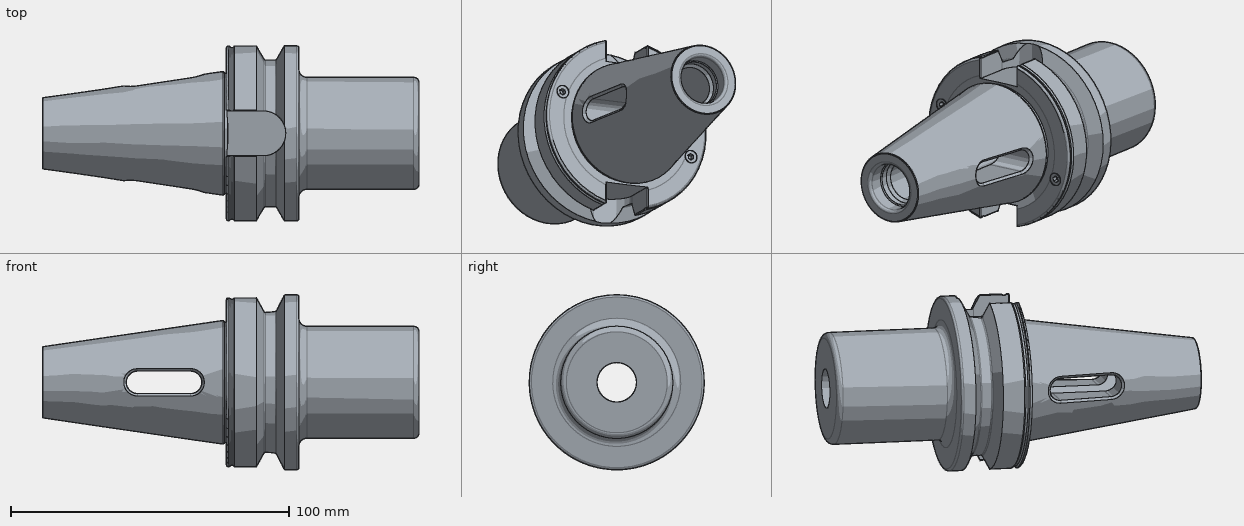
import cadquery as cq
import math

total_length = 135.4

clearance = 1.4

arc_mid_ratio = 1 - math.sqrt(0.5)

gauge_x = 65.4
gauge_radius = 22.3
taper_ratio = 7 / 24
tip_radius = gauge_radius - gauge_x * taper_ratio / 2
tip_chamfer = 0.3
root_chamfer = 0.4

flange_diameter = 63.0
flange_radius = flange_diameter / 2
face_x = 66.1
flange_end_x = 92.2
face_fillet = 0.8
back_fillet = 0.8

recess_radius = 25.0
recess_floor_x = 66.8
root_radius = 21.7

ring_groove_x = 68.1
ring_groove_width = 1.9
ring_groove_depth = 0.5

v_center_x = 81.9
v_floor_radius = 26.4
v_floor_width = 4.2
v_wall_width = (flange_radius - v_floor_radius) * math.tan(math.radians(30))
v_corner_fillet = 0.5
v_start_x = v_center_x - v_floor_width / 2 - v_wall_width

shank_radius = 20.2
neck_fillet = 2.8
shank_end_fillet = 2.0

guide_radius = 8.5
guide_depth = 6.2
mouth_fillet = 1.1
ring_radius = 8.1
ring_width = 2.6
core_radius = 7.0

key_width = 16.1
key_floor = 22.5
key_end_x = 87.5
key_chamfer = 0.4

slot_center_x = 43.7
slot_length = 27.1
slot_width = 8.0
slot_chamfer = 1.0

plug_circle_radius = 27.0
plug_angle = 20.0
plug_radius = 2.3
plug_sink = 0.3
socket_across_flats = 2.0
socket_depth = 2.0


def revolve_about_x(profile):
    return profile.close().revolve(360, (0, 0, 0), (1, 0, 0))


def make_body():
    fillet_offset = neck_fillet * arc_mid_ratio
    v_floor_start = v_center_x - v_floor_width / 2
    v_floor_end = v_center_x + v_floor_width / 2
    body = revolve_about_x(
        cq.Workplane("XZ")
        .moveTo(0, 0)
        .lineTo(0, tip_radius - tip_chamfer)
        .lineTo(tip_chamfer, tip_radius + tip_chamfer * taper_ratio / 2)
        .lineTo(gauge_x - root_chamfer, gauge_radius - root_chamfer * taper_ratio / 2)
        .lineTo(gauge_x, gauge_radius - root_chamfer)
        .lineTo(gauge_x, root_radius)
        .lineTo(recess_floor_x, root_radius)
        .lineTo(face_x, recess_radius)
        .lineTo(face_x, flange_radius)
        .lineTo(v_start_x, flange_radius)
        .lineTo(v_floor_start, v_floor_radius)
        .lineTo(v_floor_end, v_floor_radius)
        .lineTo(v_floor_end + v_wall_width, flange_radius)
        .lineTo(flange_end_x, flange_radius)
        .lineTo(flange_end_x, shank_radius + neck_fillet)
        .threePointArc(
            (flange_end_x + fillet_offset, shank_radius + fillet_offset),
            (flange_end_x + neck_fillet, shank_radius),
        )
        .lineTo(total_length, shank_radius)
        .lineTo(total_length, 0)
    )
    body = fillet_circle(body, face_x, flange_radius, face_fillet)
    body = fillet_circle(body, flange_end_x, flange_radius, back_fillet)
    body = fillet_circle(body, total_length, shank_radius, shank_end_fillet)
    for corner_x in (v_floor_start, v_floor_end):
        body = fillet_circle(body, corner_x, v_floor_radius, v_corner_fillet)
    return body


def fillet_circle(body, x, radius, fillet):
    """Round the turned edge that lies at the given X and radius."""
    tolerance = 0.01
    reach = radius + tolerance
    edge = cq.selectors.BoxSelector(
        (x - tolerance, -reach, -reach), (x + tolerance, reach, reach), boundingbox=True
    )
    is_outer = cq.selectors.RadiusNthSelector(-1)
    return body.edges(edge).edges(is_outer).fillet(fillet)


def make_ring_groove():
    """Groove with 45 degree walls."""
    floor_radius = flange_radius - ring_groove_depth
    half_floor = ring_groove_width / 2 - ring_groove_depth
    rim_radius = flange_radius + clearance
    half_rim = half_floor + rim_radius - floor_radius
    return revolve_about_x(
        cq.Workplane("XZ")
        .moveTo(ring_groove_x - half_floor, floor_radius)
        .lineTo(ring_groove_x + half_floor, floor_radius)
        .lineTo(ring_groove_x + half_rim, rim_radius)
        .lineTo(ring_groove_x - half_rim, rim_radius)
    )


def make_bore():
    mouth_offset = mouth_fillet * arc_mid_ratio
    ring_x = guide_depth + guide_radius - ring_radius
    core_x = ring_x + ring_width + ring_radius - core_radius
    return revolve_about_x(
        cq.Workplane("XZ")
        .moveTo(0, 0)
        .lineTo(0, guide_radius + mouth_fillet)
        .threePointArc(
            (mouth_offset, guide_radius + mouth_offset),
            (mouth_fillet, guide_radius),
        )
        .lineTo(guide_depth, guide_radius)
        .lineTo(ring_x, ring_radius)
        .lineTo(ring_x + ring_width, ring_radius)
        .lineTo(core_x, core_radius)
        .lineTo(total_length, core_radius)
        .lineTo(total_length, 0)
    )


def make_keyway():
    """Round-ended keyway on +Z, with chamfered edges at the face and at the rim."""
    half = key_width / 2
    height = flange_radius + clearance - key_floor
    plan = (
        cq.Workplane("XY", origin=(0, 0, key_floor))
        .moveTo(gauge_x, half + key_chamfer)
        .lineTo(face_x, half + key_chamfer)
        .lineTo(face_x + key_chamfer, half)
        .lineTo(key_end_x - half, half)
        .threePointArc((key_end_x, 0), (key_end_x - half, -half))
        .lineTo(face_x + key_chamfer, -half)
        .lineTo(face_x, -half - key_chamfer)
        .lineTo(gauge_x, -half - key_chamfer)
        .close()
        .extrude(height)
    )
    flare_start = math.sqrt(flange_radius**2 - half**2) - key_chamfer
    flare_rise = flange_radius + clearance - flare_start
    rim_chamfer = (
        cq.Workplane("YZ", origin=(gauge_x, 0, 0))
        .moveTo(-half, flare_start)
        .lineTo(half, flare_start)
        .lineTo(half + flare_rise, flare_start + flare_rise)
        .lineTo(-half - flare_rise, flare_start + flare_rise)
        .close()
        .extrude(v_start_x - gauge_x)
    )
    return plan.union(rim_chamfer)


def cut_drift_slot(body):
    slot = (
        cq.Workplane("XZ", origin=(slot_center_x, 0, 0))
        .slot2D(slot_length, slot_width)
        .extrude(gauge_radius, both=True)
    )
    body = body.cut(slot)
    half_length = slot_length / 2 + slot_chamfer
    for side in (-1, 1):
        rim = cq.selectors.BoxSelector(
            (slot_center_x - half_length, side * tip_radius, -slot_width),
            (slot_center_x + half_length, side * gauge_radius, slot_width),
            boundingbox=True,
        )
        body = body.edges(rim).chamfer(slot_chamfer)
    return body


def make_plug_recess():
    sink = cq.Workplane("YZ").circle(plug_radius).extrude(plug_sink)
    socket_across_corners = socket_across_flats / math.cos(math.radians(30))
    socket = cq.Workplane("YZ").polygon(6, socket_across_corners).extrude(plug_sink + socket_depth)
    return sink.union(socket).translate((face_x, plug_circle_radius, 0))


result = make_body().cut(make_ring_groove()).cut(make_bore())
result = cut_drift_slot(result)
for turn in (0, 180):
    result = result.cut(make_keyway().rotate((0, 0, 0), (1, 0, 0), turn))
    result = result.cut(make_plug_recess().rotate((0, 0, 0), (1, 0, 0), plug_angle + turn))